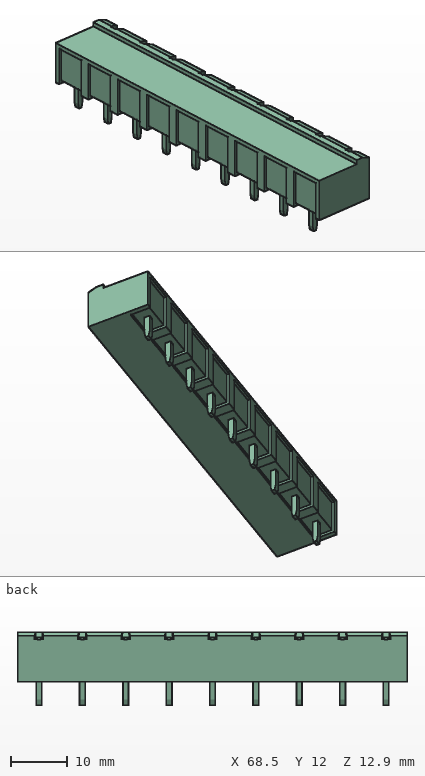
import cadquery as cq

LENGTH = 68.5
DEPTH = 12.0
BODY_HEIGHT = 8.8
STEP_DROP = 0.8
RIDGE_WIDTH = 3.0
BEVEL_WIDTH = 1.65
BEVEL_DROP = 0.6

POLES = 9
POLE_SPAN = 61.0
PITCH = POLE_SPAN / (POLES - 1)

WINDOW_WIDTH = 5.75
WINDOW_DEPTH = 0.5
WINDOW_MARGIN = 1.65
WINDOW_TOP = BODY_HEIGHT - WINDOW_MARGIN
SLOT_HEIGHT = 0.6

PIN_SIZE = 1.0
PIN_LENGTH = 4.1
PIN_CENTRE_Y = 2.0
PIN_TIP_THICKNESS = 0.6
PIN_TIP_LENGTH = 1.0
SLOT_DEPTH = 2 * PIN_CENTRE_Y

NOTCH_REAR_WIDTH = 1.6
NOTCH_FRONT_WIDTH = 1.1
NOTCH_DEPTH = 0.95
NOTCH_STRETCH = 0.6
NOTCH_REAR_DROP = 0.3
NOTCH_SAG = 0.09

pole_places = [i * PITCH - POLE_SPAN / 2 for i in range(POLES)]


def side_extrusion(points, width):
    """Extrude a (Y, Z) outline along X, centred on X = 0."""
    return cq.Workplane("YZ").polyline(points).close().extrude(width / 2, both=True)


def housing():
    deck = BODY_HEIGHT - STEP_DROP
    outline = [
        (0, 0),
        (DEPTH, 0),
        (DEPTH, BODY_HEIGHT - BEVEL_DROP),
        (DEPTH - BEVEL_WIDTH, BODY_HEIGHT),
        (DEPTH - RIDGE_WIDTH, BODY_HEIGHT),
        (DEPTH - RIDGE_WIDTH, deck),
        (0, deck),
    ]
    return side_extrusion(outline, LENGTH)


def window_and_slot():
    """Shallow front window that opens into a deeper slot along the underside."""
    window = cq.Workplane().box(WINDOW_WIDTH, WINDOW_DEPTH, WINDOW_TOP, centered=(True, False, False))
    slot = cq.Workplane().box(WINDOW_WIDTH, SLOT_DEPTH, SLOT_HEIGHT, centered=(True, False, False))
    return window.union(slot)


def pin():
    """Square pin whose tip tapers in Y only; its top meets the slot roof."""
    half = PIN_SIZE / 2
    half_tip = PIN_TIP_THICKNESS / 2
    taper_start = -PIN_LENGTH + PIN_TIP_LENGTH
    outline = [
        (PIN_CENTRE_Y - half, SLOT_HEIGHT),
        (PIN_CENTRE_Y - half, taper_start),
        (PIN_CENTRE_Y - half_tip, -PIN_LENGTH),
        (PIN_CENTRE_Y + half_tip, -PIN_LENGTH),
        (PIN_CENTRE_Y + half, taper_start),
        (PIN_CENTRE_Y + half, SLOT_HEIGHT),
    ]
    return side_extrusion(outline, PIN_SIZE)


def trough(direction, start_y, start_z, length):
    """Round-floored trough running from (start_y, start_z) along a direction in the YZ plane."""
    half = NOTCH_REAR_WIDTH / 2
    start = cq.Plane(origin=(0, start_y, start_z), xDir=(-1, 0, 0), normal=direction)
    return (
        cq.Workplane(start)
        .moveTo(-half, 0)
        .threePointArc((0, -NOTCH_SAG), (half, 0))
        .lineTo(half, 2 * NOTCH_DEPTH)
        .lineTo(-half, 2 * NOTCH_DEPTH)
        .close()
        .extrude(length)
    )


def ridge_notch():
    """Rear notch: front ramp, level trough, then a trough falling to the rear face."""
    floor = BODY_HEIGHT - NOTCH_DEPTH
    fall_y = DEPTH - NOTCH_STRETCH
    level_y = fall_y - NOTCH_STRETCH
    ramp_y = level_y - NOTCH_STRETCH
    ramp_outline = [(ramp_y, BODY_HEIGHT), (level_y, floor), (level_y, BODY_HEIGHT)]
    ramp = side_extrusion(ramp_outline, NOTCH_REAR_WIDTH)
    level = trough((0, 1, 0), level_y, floor, NOTCH_STRETCH)
    falling = trough(
        (0, NOTCH_STRETCH, -NOTCH_REAR_DROP),
        fall_y - NOTCH_STRETCH / 2,
        floor + NOTCH_REAR_DROP / 2,
        2 * NOTCH_STRETCH,
    )
    plan = [
        (-NOTCH_FRONT_WIDTH / 2, ramp_y),
        (NOTCH_FRONT_WIDTH / 2, ramp_y),
        (NOTCH_REAR_WIDTH / 2, DEPTH),
        (-NOTCH_REAR_WIDTH / 2, DEPTH),
    ]
    sides = cq.Workplane().polyline(plan).close().extrude(BODY_HEIGHT)
    return ramp.union(level).union(falling).intersect(sides)


result = housing()
for x in pole_places:
    result = result.cut(window_and_slot().translate((x, 0, 0)))
    result = result.cut(ridge_notch().translate((x, 0, 0)))
    result = result.union(pin().translate((x, 0, 0)))